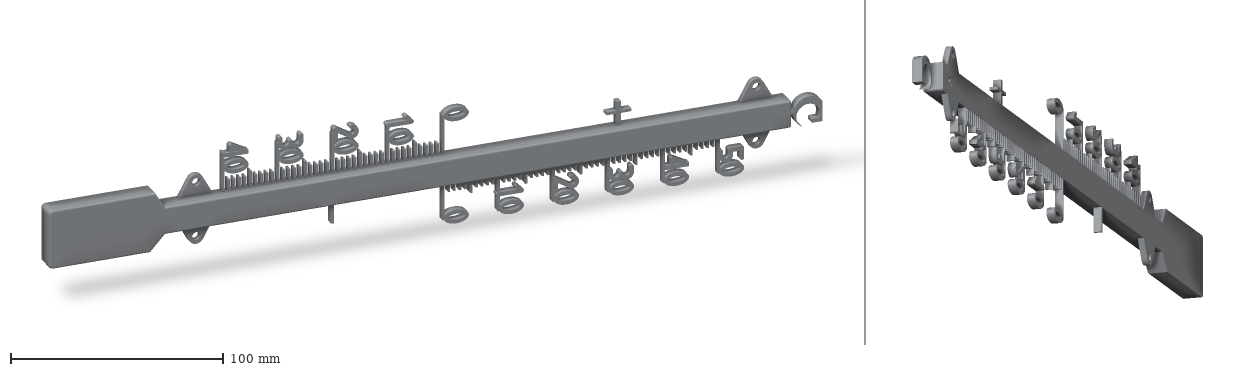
import cadquery as cq
import math


overall_length = 393.23

beam_depth = 10.0
beam_half_height = 7.0
beam_hook_end = 175.0
neck_end = -143.5
handle_half_height = 15.1
handle_top_start = -148.5
handle_bottom_start = -151.0
handle_end = -202.5
handle_corner_radius = 2.0
hook_end_corner_radius = 1.0
front_edge_radius = 1.0

ear_centers = (160.0, -125.0)
ear_thickness = 3.0
ear_tip_diameter = 8.0
ear_hole_diameter = 4.0
ear_hole_height = 14.0
ear_base_half_width = 8.5

mark_depth = 4.0
mark_width = 1.0
zero_y = mark_width / 2
mark_root = 1.0
label_pitch = 28.0
marks_per_label = 10
mark_pitch = label_pitch / marks_per_label
short_mark = 6.0
medium_mark = 8.5
long_mark = 20.3
upper_labels = 4
lower_labels = 5

figure_height = 12.8
figure_width = 7.1
figure_pitch = 7.6
pen = 2.1
upper_figure_top = 30.3
four_overhang = 0.53
lower_figure_top = -15.1
lower_zero_top = -22.75

sign_reach = 19.0
plus_center_y = 89.6
plus_stem_width = 2.3
plus_bar_length = 12.5
plus_bar_width = 1.5
plus_bar_height = 13.6
minus_center_y = -2 * label_pitch
minus_width = 1.5

hook_back = 5.0
hook_outer_radius = 8.0
hook_outer_y = 184.0
hook_outer_z = -0.2
hook_inner_radius = 6.0
hook_inner_y = 183.4
hook_inner_z = -2.0
hook_tip = handle_end + overall_length
hook_foot_bottom = -6.2
hook_foot_top = -4.2
hook_foot_end = 185.3
hook_mouth_start = 180.2
shank_diameter = 4.0
shank_root = 177.0

window_diameter = 4.65
window_y = 164.4
pin_diameter = 2.65
pin_y = window_y - (window_diameter - pin_diameter) / 2
shank_start = pin_y + pin_diameter / 2
shank_x = (hook_back + beam_depth) / 2


def slab(y_min, y_max, z_min, z_max, x_min, x_max):
    """Rectangular block given by its limits."""
    return cq.Workplane("XY").box(
        x_max - x_min, y_max - y_min, z_max - z_min, centered=False
    ).translate((x_min, y_min, z_min))


def disc(y, z, diameter, x_min, x_max):
    """Cylinder along X."""
    return (
        cq.Workplane("YZ", origin=(x_min, y, z)).circle(diameter / 2).extrude(x_max - x_min)
    )


def make_bar():
    """Long bar widening into the handle, rounded everywhere but on the flat back."""
    outline = [
        (beam_hook_end, beam_half_height),
        (neck_end, beam_half_height),
        (handle_top_start, handle_half_height),
        (handle_end, handle_half_height),
        (handle_end, -handle_half_height),
        (handle_bottom_start, -handle_half_height),
        (neck_end, -beam_half_height),
        (beam_hook_end, -beam_half_height),
    ]
    bar = cq.Workplane("YZ").polyline(outline).close().extrude(beam_depth)
    bar = bar.faces("<Y").edges("|X").fillet(handle_corner_radius)
    bar = bar.faces(">Y").edges("|X").fillet(hook_end_corner_radius)
    return bar.faces(">X").edges().fillet(front_edge_radius)


def make_ear(center_y, side):
    """Triangular ear with a round tip; side is +1 above the beam and -1 below it."""
    tip_radius = ear_tip_diameter / 2
    rise = ear_hole_height - beam_half_height
    reach = math.hypot(ear_base_half_width, rise)
    angle = math.acos(tip_radius / reach) - math.atan2(rise, ear_base_half_width)
    tangent_y = tip_radius * math.cos(angle)
    tangent_z = side * (ear_hole_height + tip_radius * math.sin(angle))
    base_z = side * beam_half_height
    return (
        cq.Workplane("YZ", origin=(0, center_y, 0))
        .moveTo(-ear_base_half_width, 0)
        .lineTo(-ear_base_half_width, base_z)
        .lineTo(-tangent_y, tangent_z)
        .threePointArc((0, side * (ear_hole_height + tip_radius)), (tangent_y, tangent_z))
        .lineTo(ear_base_half_width, base_z)
        .lineTo(ear_base_half_width, 0)
        .close()
        .extrude(ear_thickness)
        .cut(disc(center_y, side * ear_hole_height, ear_hole_diameter, 0, ear_thickness))
    )


def make_upright(y, width, side, reach):
    """Upright strip from inside the beam out to the given distance from its axis."""
    z_ends = sorted((side * (beam_half_height - mark_root), side * reach))
    return slab(y - width / 2, y + width / 2, *z_ends, 0, mark_depth)


def make_scale(labels, direction, side):
    """Marks of one scale, running from zero along Y in the given direction."""
    marks = []
    for index in range(labels * marks_per_label + 1):
        length = short_mark
        if index % marks_per_label == 0:
            length = long_mark
        elif index % (marks_per_label // 2) == 0:
            length = medium_mark
        marks.append(
            make_upright(
                zero_y + direction * index * mark_pitch,
                mark_width,
                side,
                beam_half_height + length,
            )
        )
    return marks


left = pen / 2
right = figure_width - pen / 2
middle = figure_width / 2
top = figure_height - pen / 2
foot = pen / 2
bowl = (right - left) / 2
stem_height = figure_height / 2


def figure_plane(y, z):
    """Frame of one figure: its right is -Z and its top points to +Y."""
    return cq.Workplane(cq.Plane(origin=(0, y, z), xDir=(0, 0, -1), normal=(1, 0, 0)))


def thicken(path):
    """Turn a traced path into a raised stroke."""
    return path.offset2D(pen / 2).extrude(mark_depth)


def draw_zero(plane):
    center = plane.center(middle, stem_height)
    outer = center.ellipse(figure_width / 2, figure_height / 2).extrude(mark_depth)
    inner = center.ellipse(figure_width / 2 - pen, figure_height / 2 - pen).extrude(mark_depth)
    return outer.cut(inner)


def draw_one(plane):
    flag_drop = 2.5
    return thicken(
        plane.moveTo(middle, 0).lineTo(middle, top).lineTo(left, top - flag_drop)
    )


def draw_two(plane):
    shoulder = top - bowl
    return thicken(
        plane.moveTo(left, shoulder)
        .threePointArc((middle, top), (right, shoulder))
        .lineTo(left, foot)
        .lineTo(right, foot)
    )


def draw_three(plane):
    waist = (top + foot) / 2
    radius = (top - foot) / 4
    center_u = right - radius
    bowls = []
    for center_v, tail in ((waist + radius, 1), (waist - radius, -1)):
        path = (
            plane.moveTo(left, center_v + tail * radius)
            .lineTo(center_u, center_v + tail * radius)
            .threePointArc((right, center_v), (center_u, center_v - tail * radius))
        )
        bowls.append(thicken(path))
    return bowls[0].union(bowls[1])


def draw_four(plane):
    stem_u = middle + pen / 2
    crossbar_v = figure_height / 3
    stem = plane.center(stem_u, stem_height).rect(pen, figure_height).extrude(mark_depth)
    arm = thicken(
        plane.moveTo(stem_u, top).lineTo(left - four_overhang, crossbar_v).lineTo(right, crossbar_v)
    )
    return stem.union(arm)


def draw_five(plane):
    shoulder = foot + 2 * bowl
    return thicken(
        plane.moveTo(right, top)
        .lineTo(left, top)
        .lineTo(left, shoulder)
        .lineTo(middle, shoulder)
        .threePointArc((right, foot + bowl), (middle, foot))
        .lineTo(left, foot)
    )


figures = (draw_zero, draw_one, draw_two, draw_three, draw_four, draw_five)


def make_numerals(labels, direction, first_top, zero_top):
    """Numbers 0, 10, 20 ... standing on the long marks of one scale."""
    numerals = [draw_zero(figure_plane(zero_y, zero_top))]
    for label in range(1, labels + 1):
        y = zero_y + direction * label * label_pitch
        numerals.append(figures[label](figure_plane(y, first_top)))
        numerals.append(draw_zero(figure_plane(y, first_top - figure_pitch)))
    return numerals


def make_signs():
    """Plus sign above the beam and minus sign below it."""
    plus_bar = slab(
        plus_center_y - plus_bar_length / 2,
        plus_center_y + plus_bar_length / 2,
        plus_bar_height - plus_bar_width / 2,
        plus_bar_height + plus_bar_width / 2,
        0,
        mark_depth,
    )
    return [
        make_upright(plus_center_y, plus_stem_width, 1, sign_reach),
        plus_bar,
        make_upright(minus_center_y, minus_width, -1, sign_reach),
    ]


def make_shank(y_end):
    """Round shank along Y from the pin to the given Y."""
    return (
        cq.Workplane("XZ", origin=(shank_x, shank_start, 0))
        .circle(shank_diameter / 2)
        .extrude(-(y_end - shank_start))
    )


def make_beam():
    """Bar with its ears, scales and signs, opened for the shank and the pin."""
    beam = make_bar()
    for center_y in ear_centers:
        for side in (1, -1):
            beam = beam.union(make_ear(center_y, side))
    raised = make_scale(upper_labels, -1, 1) + make_scale(lower_labels, 1, -1)
    raised += make_numerals(upper_labels, -1, upper_figure_top, upper_figure_top)
    raised += make_numerals(lower_labels, 1, lower_figure_top, lower_zero_top)
    raised += make_signs()
    for piece in raised:
        beam = beam.union(piece)
    window = disc(window_y, 0, window_diameter, 0, shank_x)
    return beam.cut(window).cut(make_shank(beam_hook_end))


def make_hook():
    """Crescent open at the bottom, with a flat foot at the tip and a shank into the beam."""
    x_range = (hook_back, beam_depth)
    bottom = hook_outer_z - hook_outer_radius
    hook = disc(hook_outer_y, hook_outer_z, 2 * hook_outer_radius, *x_range)
    eye = disc(hook_inner_y, hook_inner_z, 2 * hook_inner_radius, *x_range)
    beyond_tip = slab(hook_tip, hook_tip + hook_outer_radius, bottom, -bottom, *x_range)
    mouth = slab(hook_mouth_start, hook_foot_end, bottom, hook_inner_z, *x_range)
    below_foot = slab(hook_foot_end, hook_tip, bottom, hook_foot_bottom, *x_range)
    for waste in (eye, beyond_tip, mouth, below_foot):
        hook = hook.cut(waste)
    foot_block = slab(hook_foot_end, hook_tip, hook_foot_bottom, hook_foot_top, *x_range)
    return hook.union(foot_block).union(make_shank(shank_root))


def make_pin():
    """Pin across the end of the shank, touching the rim of the window."""
    return disc(pin_y, 0, pin_diameter, 0, shank_x)


beam = make_beam()
hook = make_hook()
pin = make_pin()
result = cq.Compound.makeCompound([*beam.solids().vals(), *hook.solids().vals(), *pin.vals()])